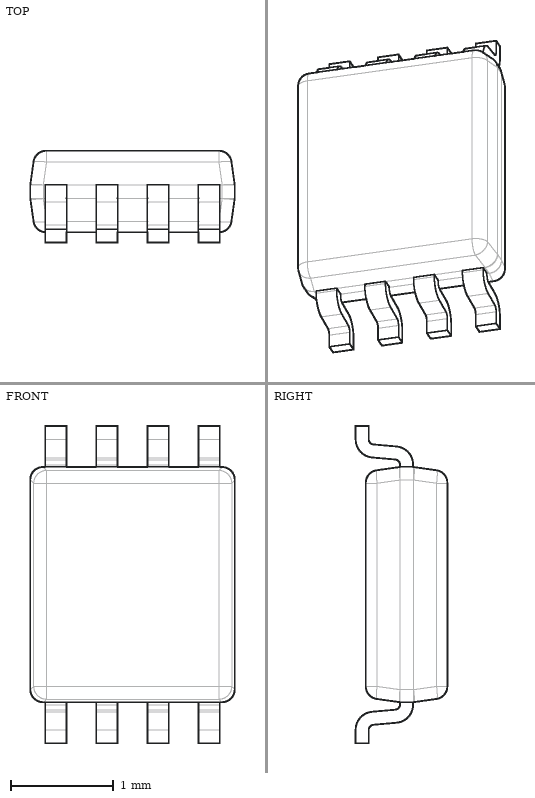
import cadquery as cq
import math


body_width = 2.0
body_height = 2.3
body_depth = 0.8
body_standoff = 0.1
body_draft = 8.0
body_rounding = 0.127
body_middle_y = body_standoff + body_depth / 2

overall_height = 3.1
leads_per_side = 4
lead_pitch = 0.5
lead_width = 0.21
lead_thickness = 0.13
foot_length = 0.13
lead_inner_radius = 0.05
lead_outer_radius = lead_inner_radius + lead_thickness
lead_slope = 5.0
bend_angle = 90.0 - lead_slope

band_depth = lead_thickness
draft_depth = (body_depth - band_depth) / 2


def make_body():
    """Rounded package: an upright band with a drafted half on each side."""
    def drafted_half(direction):
        return (
            cq.Workplane("XZ", origin=(0, body_middle_y + direction * band_depth / 2, 0))
            .rect(body_width, body_height)
            .extrude(-direction * draft_depth, taper=body_draft)
        )

    band = cq.Workplane("XY").box(body_width, band_depth, body_height).translate((0, body_middle_y, 0))
    block = band.union(drafted_half(1)).union(drafted_half(-1))
    corners = block.edges("not(|X or |Z)")
    face_rims = block.faces("<Y or >Y").edges()
    return block.newObject(corners.vals() + face_rims.vals()).fillet(body_rounding)


def point_on_circle(centre, radius, angle):
    """Point at the given angle, in degrees, on a circle around a centre."""
    turn = math.radians(angle)
    return (centre[0] + radius * math.cos(turn), centre[1] + radius * math.sin(turn))


def make_upper_lead(x):
    """Gull-wing lead that starts on the upper end of the body band and ends in a flat foot."""
    root_z = body_height / 2
    tip_z = overall_height / 2
    root_top_y = body_middle_y + lead_thickness / 2
    root_bottom_y = root_top_y - lead_thickness

    foot_bend = (lead_outer_radius, tip_z - foot_length)
    root_bend_y = root_top_y - lead_outer_radius
    slope = math.radians(lead_slope)
    radius_sum = lead_inner_radius + lead_outer_radius
    centre_rise = (radius_sum + (root_bend_y - foot_bend[0]) * math.sin(slope)) / math.cos(slope)
    root_bend = (root_bend_y, foot_bend[1] - centre_rise)

    def on_root_bend(radius, angle):
        return point_on_circle(root_bend, radius, angle)

    def on_foot_bend(radius, angle):
        return point_on_circle(foot_bend, radius, 180 + angle)

    half_bend = bend_angle / 2
    return (
        cq.Workplane("YZ", origin=(x, 0, 0))
        .moveTo(root_top_y, root_z)
        .lineTo(*on_root_bend(lead_outer_radius, 0))
        .threePointArc(
            on_root_bend(lead_outer_radius, half_bend), on_root_bend(lead_outer_radius, bend_angle)
        )
        .lineTo(*on_foot_bend(lead_inner_radius, bend_angle))
        .threePointArc(
            on_foot_bend(lead_inner_radius, half_bend), on_foot_bend(lead_inner_radius, 0)
        )
        .lineTo(lead_thickness, tip_z)
        .lineTo(0, tip_z)
        .lineTo(*on_foot_bend(lead_outer_radius, 0))
        .threePointArc(
            on_foot_bend(lead_outer_radius, half_bend), on_foot_bend(lead_outer_radius, bend_angle)
        )
        .lineTo(*on_root_bend(lead_inner_radius, bend_angle))
        .threePointArc(
            on_root_bend(lead_inner_radius, half_bend), on_root_bend(lead_inner_radius, 0)
        )
        .lineTo(root_bottom_y, root_z)
        .close()
        .extrude(lead_width / 2, both=True)
    )


body = make_body()

leads = []
for index in range(leads_per_side):
    lead_x = (index - (leads_per_side - 1) / 2) * lead_pitch
    upper_lead = make_upper_lead(lead_x)
    lower_lead = upper_lead.mirror("XY")
    leads.append(upper_lead.val())
    leads.append(lower_lead.val())

result = cq.Compound.makeCompound([body.val(), *leads])